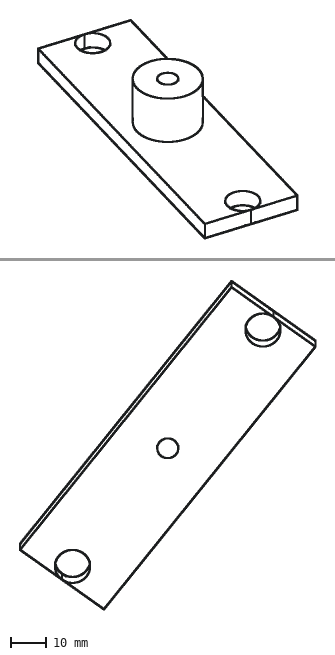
import cadquery as cq

plate_length = 100
plate_width = 30
plate_thickness = 5

boss_diameter = 20
boss_height = 15
bore_diameter = 6

mount_hole_diameter = 10
mount_hole_spacing = plate_length - mount_hole_diameter

plate = cq.Workplane("XY").box(
    plate_length, plate_width, plate_thickness, centered=(True, True, False)
)

drilled_plate = (
    plate.faces(">Z").workplane()
    .rarray(mount_hole_spacing, 1, 2, 1)
    .hole(mount_hole_diameter)
)

result = (
    drilled_plate.faces(">Z").workplane(origin=(0, 0, plate_thickness))
    .circle(boss_diameter / 2)
    .extrude(boss_height)
    .faces(">Z").workplane()
    .hole(bore_diameter)
)